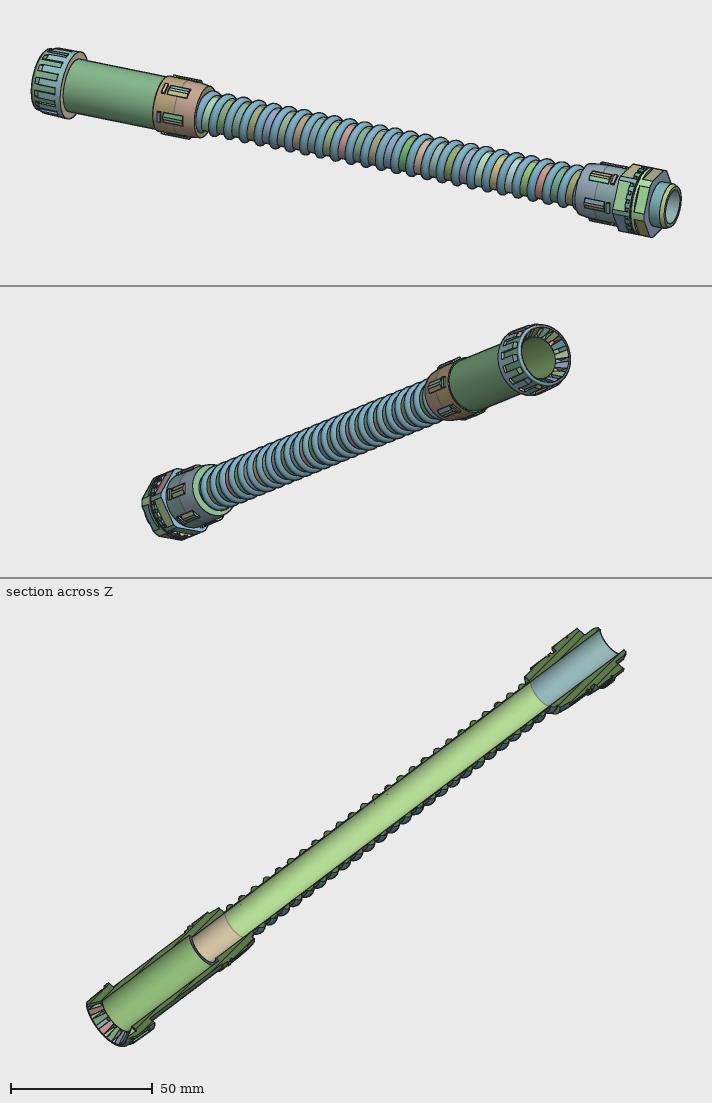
import cadquery as cq
import math

LENGTH = 243.7
BORE_RADIUS = 6.0
RIM_RADIUS = 12.06

NUT_LENGTH = 12.0
NUT_RIM_START = 9.7
NUT_GROOVE_RADIUS = 11.1
NUT_RIB_RADIUS = 11.82
NUT_RIB_START = 1.5
NUT_RIB_CREST_START = 3.2
NUT_FRONT_ROUNDING = 0.7
NUT_RIB_COUNT = 15
NUT_GROOVE_WIDTH = 2.5
SOCKET_RADIUS = 7.5
FUNNEL_MOUTH_RADIUS = 10.0
FUNNEL_FLOOR_RADIUS = SOCKET_RADIUS
FUNNEL_DEPTH = 4.9
FUNNEL_SLOT_COUNT = NUT_RIB_COUNT
FUNNEL_SLOT_WIDTH = 1.5

SLEEVE_RADIUS = 9.5
CLAMP_LENGTH = 15.8
CLAMP_STRAIGHT_LENGTH = 8.0
CLAMP_RADIUS = 10.0
CLAMP_MOUTH_RADIUS = 9.3
LEFT_CLAMP_MOUTH = 62.6
SLEEVE_END = LEFT_CLAMP_MOUTH - CLAMP_LENGTH
RIGHT_CLAMP_MOUTH = 210.0

LATCH_COUNT = 6
LATCH_TOP = 10.6
LATCH_ROOT = 9.0
LATCH_HALF_WIDTH = 2.0
LATCH_CREST_HALF_WIDTH = 0.5
LATCH_RIDGE_START = 4.1
LATCH_RIDGE_LENGTH = 7.5
LATCH_BAR_START = 12.7
LATCH_BAR_LENGTH = 1.2

HOSE_RADIUS = 6.5
HOSE_CREST_RADIUS = 7.92
HOSE_PITCH = 5.87
CREST_ON_TOP = 70.06
RIDGE_BASE_WIDTH = 3.2
RIDGE_EMBED = 0.2
RIDGE_OVERLAP = 2.0

BODY_HEX_APOTHEM = 10.85
COLLAR_START = 230.5
COLLAR_NOTCH_END = 231.8
COLLAR_GAP_START = 232.5
COLLAR_GAP_END = 233.0
COLLAR_END = 234.2
COLLAR_GAP_RADIUS = 11.5
COLLAR_NOTCH_COUNT = 24
COLLAR_NOTCH_WIDTH = 1.2
COLLAR_NOTCH_DEPTH = 0.6
END_HEX_APOTHEM = 11.1
END_HEX_END = 238.0
TAIL_RADIUS = 8.0
TAIL_TIP_RADIUS = 7.3
TAIL_TAPER_START = 242.2


def revolved(points):
    """Solid of revolution about X from (x, radius) points, closed down to the axis."""
    outline = [(points[0][0], 0)] + points + [(points[-1][0], 0)]
    return cq.Workplane("XZ").polyline(outline).close().revolve(360, (0, 0, 0), (1, 0, 0))


def cylinder(start, end, radius):
    return revolved([(start, radius), (end, radius)])


def box(start, end, width, bottom, top):
    """Block on the +Z side, centred on Y, between two heights."""
    size = (end - start, width, top - bottom)
    return cq.Workplane("XY").box(*size, centered=(False, True, False)).translate((start, 0, bottom))


def around_axis(tool, count, first_angle):
    """Copies of a +Z tool spread evenly about X; the angle is measured from -Y."""
    to_front = 90
    copies = cq.Workplane("XY")
    for i in range(count):
        angle = to_front + first_angle + i * 360 / count
        copies = copies.add(tool.rotate((0, 0, 0), (1, 0, 0), angle))
    return copies.combine()


def bore():
    return cylinder(0, LENGTH, BORE_RADIUS)


def ribbed_nut():
    core = revolved([(0, NUT_GROOVE_RADIUS), (NUT_LENGTH, NUT_GROOVE_RADIUS)])
    core = core.faces("<X").edges().fillet(NUT_FRONT_ROUNDING)
    shell = revolved([
        (NUT_RIB_START, NUT_GROOVE_RADIUS),
        (NUT_RIB_CREST_START, NUT_RIB_RADIUS),
        (NUT_LENGTH, RIM_RADIUS),
    ])
    groove = box(0, NUT_RIM_START, NUT_GROOVE_WIDTH, SLEEVE_RADIUS, RIM_RADIUS)
    half_step = 180 / NUT_RIB_COUNT
    shell = shell.cut(around_axis(groove, NUT_RIB_COUNT, half_step))
    return shell.union(core)


def funnel():
    """Tapered mouth of the bore with radial slots in its wall."""
    taper = revolved([(0, FUNNEL_MOUTH_RADIUS), (FUNNEL_DEPTH, FUNNEL_FLOOR_RADIUS)])
    slot = box(0, FUNNEL_DEPTH, FUNNEL_SLOT_WIDTH, BORE_RADIUS, FUNNEL_MOUTH_RADIUS)
    return taper.union(around_axis(slot, FUNNEL_SLOT_COUNT, 0))


def latch():
    """One latch on the +Z side: a crested ridge and a cross bar."""
    ridge_outline = [
        (-LATCH_HALF_WIDTH, LATCH_ROOT),
        (LATCH_HALF_WIDTH, LATCH_ROOT),
        (LATCH_HALF_WIDTH, CLAMP_RADIUS),
        (LATCH_CREST_HALF_WIDTH, LATCH_TOP),
        (-LATCH_CREST_HALF_WIDTH, LATCH_TOP),
        (-LATCH_HALF_WIDTH, CLAMP_RADIUS),
    ]
    ridge = cq.Workplane("YZ", origin=(LATCH_RIDGE_START, 0, 0)).polyline(ridge_outline).close()
    ridge = ridge.extrude(LATCH_RIDGE_LENGTH)
    bar_end = LATCH_BAR_START + LATCH_BAR_LENGTH
    bar = box(LATCH_BAR_START, bar_end, 2 * LATCH_HALF_WIDTH, LATCH_ROOT, LATCH_TOP)
    return ridge.add(bar).combine()


def clamp():
    """Clamp with its mouth at x = 0, facing -X."""
    arc_start = CLAMP_LENGTH - CLAMP_STRAIGHT_LENGTH
    middle_radius = CLAMP_RADIUS - (CLAMP_RADIUS - CLAMP_MOUTH_RADIUS) / 4
    body = (
        cq.Workplane("XZ")
        .lineTo(0, CLAMP_MOUTH_RADIUS)
        .threePointArc((arc_start / 2, middle_radius), (arc_start, CLAMP_RADIUS))
        .lineTo(CLAMP_LENGTH, CLAMP_RADIUS)
        .lineTo(CLAMP_LENGTH, 0)
        .close()
        .revolve(360, (0, 0, 0), (1, 0, 0))
    )
    return body.union(around_axis(latch(), LATCH_COUNT, 0))


def hose_ridge():
    """Left-handed helical ridge of the hose, running past both clamp mouths."""
    start = LEFT_CLAMP_MOUTH - RIDGE_OVERLAP
    end = RIGHT_CLAMP_MOUTH + RIDGE_OVERLAP
    path = cq.Wire.makeHelix(HOSE_PITCH, end - start, HOSE_RADIUS, lefthand=True)
    base = HOSE_RADIUS - RIDGE_EMBED
    ridge = (
        cq.Workplane("XZ")
        .moveTo(base, -RIDGE_BASE_WIDTH / 2)
        .threePointArc((HOSE_CREST_RADIUS, 0), (base, RIDGE_BASE_WIDTH / 2))
        .close()
        .sweep(cq.Workplane(path), isFrenet=True)
    )
    ridge = ridge.rotate((0, 0, 0), (0, 1, 0), 90)
    phase = 180 + 360 * (CREST_ON_TOP - start) / HOSE_PITCH
    return ridge.rotate((0, 0, 0), (1, 0, 0), phase).translate((start, 0, 0))


def hose():
    """Bored tube with its ridge, both trimmed flat at the clamp mouths."""
    tube = cylinder(LEFT_CLAMP_MOUTH - CLAMP_LENGTH, RIGHT_CLAMP_MOUTH + CLAMP_LENGTH, HOSE_RADIUS)
    ridged_tube = tube.cut(bore()).union(hose_ridge(), clean=False)
    return ridged_tube.intersect(cylinder(LEFT_CLAMP_MOUTH, RIGHT_CLAMP_MOUTH, RIM_RADIUS), clean=False)


def rounded_hexagon(start, end, apothem):
    """Hexagonal prism with flats at +Z and -Z and corners turned to the rim radius."""
    corner_diameter = 2 * apothem / math.cos(math.pi / 6)
    prism = cq.Workplane("YZ", origin=(start, 0, 0)).polygon(6, corner_diameter).extrude(end - start)
    return prism.intersect(cylinder(start, end, RIM_RADIUS))


def coupling():
    body_hex = rounded_hexagon(RIGHT_CLAMP_MOUTH + CLAMP_LENGTH, COLLAR_START, BODY_HEX_APOTHEM)
    collar = revolved([
        (COLLAR_START, RIM_RADIUS),
        (COLLAR_GAP_START, RIM_RADIUS),
        (COLLAR_GAP_START, COLLAR_GAP_RADIUS),
        (COLLAR_GAP_END, COLLAR_GAP_RADIUS),
        (COLLAR_GAP_END, RIM_RADIUS),
        (COLLAR_END, RIM_RADIUS),
    ])
    notch_floor = RIM_RADIUS - COLLAR_NOTCH_DEPTH
    notch = box(COLLAR_START, COLLAR_NOTCH_END, COLLAR_NOTCH_WIDTH, notch_floor, RIM_RADIUS)
    half_step = 180 / COLLAR_NOTCH_COUNT
    collar = collar.cut(around_axis(notch, COLLAR_NOTCH_COUNT, half_step))
    end_hex = rounded_hexagon(COLLAR_END, END_HEX_END, END_HEX_APOTHEM)
    tail = revolved([
        (END_HEX_END, TAIL_RADIUS),
        (TAIL_TAPER_START, TAIL_RADIUS),
        (LENGTH, TAIL_TIP_RADIUS),
    ])
    return body_hex.union(collar).union(end_hex).union(tail)


right_clamp = clamp().translate((RIGHT_CLAMP_MOUTH, 0, 0))
left_clamp = clamp().mirror("YZ").translate((LEFT_CLAMP_MOUTH, 0, 0))
sleeve = cylinder(NUT_LENGTH, SLEEVE_END, SLEEVE_RADIUS)
socket = cylinder(0, SLEEVE_END, SOCKET_RADIUS)

left_end = ribbed_nut().union(sleeve).union(left_clamp).cut(bore())
left_end = left_end.cut(socket).cut(funnel())
right_end = right_clamp.union(coupling()).cut(bore())
result = hose().union(left_end, clean=False).union(right_end, clean=False)